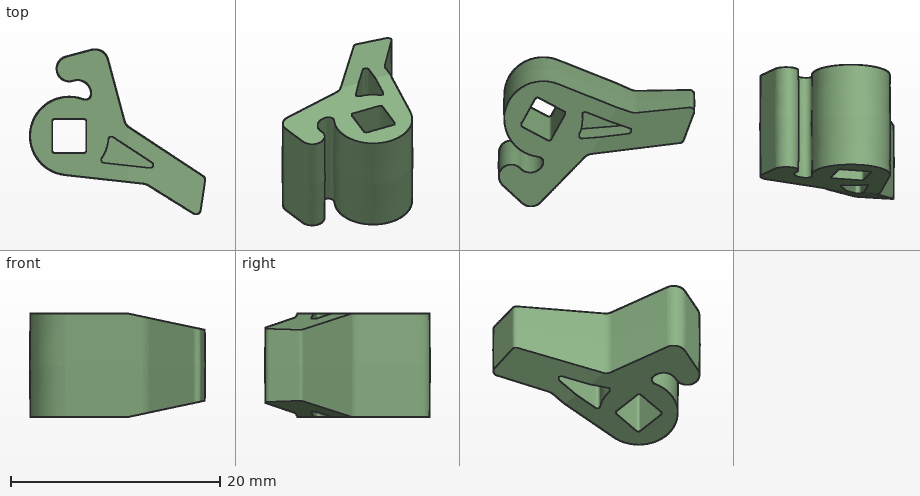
import cadquery as cq
import math

half_height = 4.95
draft_angle = 0.5

hub_radius = 3.78
square_side = 3.25
square_corner_radius = 0.25

nose_radius = 1.23
slot_radius = 1.28
slot_center = (0.79, 4.05)
slot_end_radius = 0.52
hook_slope = 15
hook_corner_radius = 1.31

hub_side_slope = -6.3
inner_corner = (5.41, 1.05)
inner_corner_radius = 1.0
lower_corner_x = 7.35
lower_corner_radius = 1.35
tip_top = (13.05, -3.98)
tip_bottom = (12.48, -7.81)
tip_corner_radius = 0.47
bevel_start_x = 5.65
bevel_angle = 12

pocket_depth = 4.0
pocket_tip = (8.9, -3.2)
pocket_upper_slope = -33.2
pocket_arc_radius = 3.76
pocket_corner_radius = 0.29


def polar(center, radius, angle):
    """Point at a distance and an angle in degrees from a centre."""
    turn = math.radians(angle)
    return (center[0] + radius * math.cos(turn), center[1] + radius * math.sin(turn))


def direction(start, end):
    """Angle in degrees of the line from start to end."""
    return math.degrees(math.atan2(end[1] - start[1], end[0] - start[0]))


def round_corner(body, corner, radius):
    """Round the upright edge nearest to a corner of the outline."""
    return body.edges(cq.selectors.NearestToPointSelector((*corner, half_height / 2))).fillet(radius)


nose_center = (0, slot_center[1] + math.sqrt((nose_radius + slot_radius) ** 2 - slot_center[0] ** 2))

slot_distance = math.hypot(*slot_center)
end_to_hub = hub_radius + slot_end_radius
end_to_slot = slot_radius - slot_end_radius
cos_at_hub = (slot_distance**2 + end_to_hub**2 - end_to_slot**2) / (2 * slot_distance * end_to_hub)
end_angle = direction((0, 0), slot_center) - math.degrees(math.acos(cos_at_hub))
slot_end_center = polar((0, 0), end_to_hub, end_angle)

top_angle = 90 + hook_slope
nose_start = polar(nose_center, nose_radius, top_angle)
top_run = (inner_corner[0] - nose_start[0]) * math.cos(math.radians(hook_slope)) + (
    inner_corner[1] - nose_start[1]
) * math.sin(math.radians(hook_slope))
hook_corner = polar(nose_start, top_run, hook_slope)

hub_end_angle = 270 + hub_side_slope
hub_end = polar((0, 0), hub_radius, hub_end_angle)
lower_corner = (
    lower_corner_x,
    hub_end[1] + (lower_corner_x - hub_end[0]) * math.tan(math.radians(hub_side_slope)),
)


def outline():
    nose_to_slot = direction(nose_center, slot_center) % 360
    slot_start = nose_to_slot - 180
    slot_stop = direction(slot_center, slot_end_center)
    end_stop = end_angle - 180
    return (
        cq.Workplane("XY")
        .moveTo(*hook_corner)
        .lineTo(*nose_start)
        .threePointArc(
            polar(nose_center, nose_radius, (top_angle + nose_to_slot) / 2),
            polar(nose_center, nose_radius, nose_to_slot),
        )
        .threePointArc(
            polar(slot_center, slot_radius, (slot_start + slot_stop) / 2),
            polar(slot_center, slot_radius, slot_stop),
        )
        .threePointArc(
            polar(slot_end_center, slot_end_radius, (slot_stop + end_stop) / 2),
            polar((0, 0), hub_radius, end_angle),
        )
        .threePointArc(polar((0, 0), hub_radius, (end_angle + hub_end_angle) / 2), hub_end)
        .lineTo(*lower_corner)
        .lineTo(*tip_bottom)
        .lineTo(*tip_top)
        .lineTo(*inner_corner)
        .close()
    )


def lever_body():
    """Upper half of the outer form, narrowing slightly from the middle plane upward."""
    body = outline().extrude(half_height)
    for corner, radius in (
        (hook_corner, hook_corner_radius),
        (inner_corner, inner_corner_radius),
        (lower_corner, lower_corner_radius),
        (tip_bottom, tip_corner_radius),
        (tip_top, tip_corner_radius),
    ):
        body = round_corner(body, corner, radius)
    rounded_outline = body.faces("<Z").wires().val()
    return cq.Workplane("XY").add(rounded_outline).toPending().extrude(half_height, taper=draft_angle)


def bevel():
    """Wedge above the sloping top of the arm."""
    run = tip_top[0] + tip_corner_radius - bevel_start_x
    return (
        cq.Workplane("XZ")
        .moveTo(bevel_start_x, half_height)
        .lineTo(bevel_start_x + run, half_height)
        .lineTo(bevel_start_x + run, half_height - run * math.tan(math.radians(bevel_angle)))
        .close()
        .extrude(2 * hub_radius + half_height, both=True)
    )


def pocket():
    reach = pocket_tip[0]
    wedge = (
        cq.Workplane("XY")
        .workplane(offset=half_height - pocket_depth)
        .moveTo(*pocket_tip)
        .lineTo(*polar(pocket_tip, reach, 180 + pocket_upper_slope))
        .lineTo(*polar(pocket_tip, reach, 180 + hub_side_slope))
        .close()
        .extrude(pocket_depth)
    )
    core = cq.Workplane("XY").circle(pocket_arc_radius).extrude(half_height)
    outside_hub = wedge.cut(core).solids(">X")
    return cq.Workplane(outside_hub.val()).edges("|Z").fillet(pocket_corner_radius)


def square_hole():
    hole = cq.Workplane("XY").rect(square_side, square_side).extrude(half_height)
    return hole.edges("|Z").fillet(square_corner_radius)


upper_half = lever_body().cut(bevel()).cut(pocket()).cut(square_hole())
result = upper_half.union(upper_half.mirror("XY"))